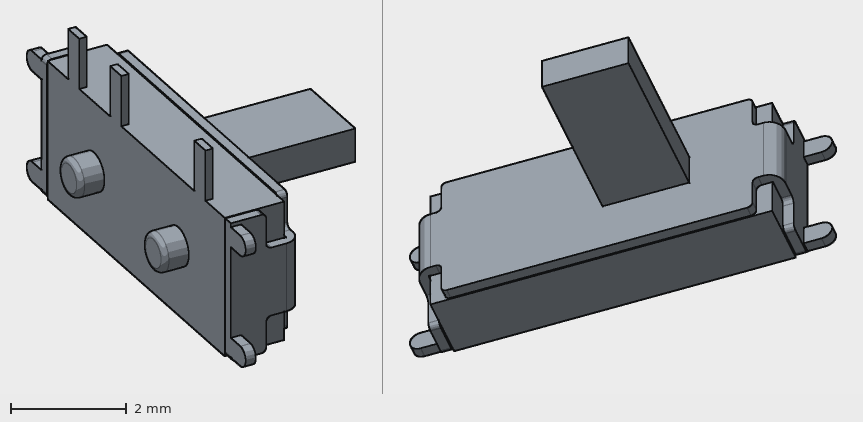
import cadquery as cq


total_length = 7.8
body_height = 2.75
body_depth = 1.4

cover_length = 6.75
sheet = 0.195
bend_radius = 0.3
notch_height = 0.7
notch_plate_reach = 0.5
notch_flange_start = 0.7
corner_radius = 0.1

tab_height = 0.4
tab_thickness = 0.2
tab_pitch = 2.2

cover_gap = 0.02
housing_length = cover_length - 2 * (sheet + cover_gap)
housing_depth = body_depth - sheet - cover_gap

knob_width = 1.6
knob_height = 0.66
knob_reach = 3.0
knob_x = -0.905

post_diameter = 0.75
post_length = 0.5
post_round = 0.1
post_pitch = 3.0

terminal_width = 0.4
terminal_thickness = 0.15
terminal_length = 1.0
terminal_pitch = 1.5
terminal_steps = (-1.5, -0.5, 1.5)
terminal_shift = 0.02


def box(x_min, x_max, y_min, y_max, z_min, z_max):
    """Box between the given limits."""
    size = (x_max - x_min, y_max - y_min, z_max - z_min)
    return cq.Workplane("XY").box(*size, centered=False).translate((x_min, y_min, z_min))


def knob():
    """Slider bar, from the back of the housing to its free end."""
    return box(
        knob_x - knob_width / 2, knob_x + knob_width / 2,
        housing_depth, body_depth + knob_reach,
        -knob_height / 2, knob_height / 2,
    )


def post(x):
    """Round locating post with a rounded tip, pointing to -Y."""
    return (
        cq.Workplane("XZ")
        .center(x, 0)
        .circle(post_diameter / 2)
        .extrude(post_length)
        .faces("<Y").edges().fillet(post_round)
    )


def terminal(x):
    """Flat terminal standing on top of the housing, flush with its front."""
    return box(
        x - terminal_width / 2, x + terminal_width / 2,
        0, terminal_thickness,
        body_height / 2, body_height / 2 + terminal_length,
    )


def make_housing():
    """Housing block with its knob, posts and terminals."""
    body = box(
        -housing_length / 2, housing_length / 2,
        0, housing_depth,
        -body_height / 2, body_height / 2,
    )
    body = body.union(knob())
    for side in (-1, 1):
        body = body.union(post(side * post_pitch / 2))
    for step in terminal_steps:
        body = body.union(terminal(step * terminal_pitch + terminal_shift))
    return body


def channel():
    """Back plate and flanges of the cover: a U that is open toward -Y."""
    outside = box(
        -cover_length / 2, cover_length / 2,
        0, body_depth,
        -body_height / 2, body_height / 2,
    ).edges("|Z and >Y").fillet(bend_radius)
    inside = box(
        sheet - cover_length / 2, cover_length / 2 - sheet,
        0, body_depth - sheet,
        -body_height / 2, body_height / 2,
    )
    return outside.cut(inside)


def corner_notch(x_side, z_side):
    """Block that opens a corner of the cover, across the bend; each side is -1 or 1."""
    width = notch_plate_reach
    depth = body_depth - notch_flange_start
    return cq.Workplane("XY").box(width, depth, notch_height).translate((
        x_side * (cover_length - width) / 2,
        body_depth - depth / 2,
        z_side * (body_height - notch_height) / 2,
    ))


def tab(x_side, z):
    """Solder tab with a round end, on the outside of a flange; x_side is -1 or 1."""
    root_x = x_side * cover_length / 2
    end_x = x_side * (total_length - tab_height) / 2
    bar = (
        cq.Workplane("XZ")
        .center((root_x + end_x) / 2, z)
        .rect(abs(end_x - root_x), tab_height)
        .extrude(-tab_thickness)
    )
    tip = cq.Workplane("XZ").center(end_x, z).circle(tab_height / 2).extrude(-tab_thickness)
    return bar.union(tip)


def make_cover():
    """Bent sheet cover with corner notches, solder tabs and the hole for the knob."""
    cover = channel()
    for x_side in (-1, 1):
        for z_side in (-1, 1):
            cover = cover.cut(corner_notch(x_side, z_side))

    cover = cover.edges("|Y").edges(">Y").fillet(corner_radius)
    cover = cover.edges("|X").edges(">>Y[1]").fillet(corner_radius)
    cover = cover.edges("|X").edges("<Y").edges("<X or <Z").fillet(corner_radius)

    for x_side in (-1, 1):
        for z_side in (-1, 1):
            cover = cover.union(tab(x_side, z_side * tab_pitch / 2))
    return cover.cut(knob())


housing = make_housing()
cover = make_cover()

result = cq.Compound.makeCompound([housing.val(), cover.val()])